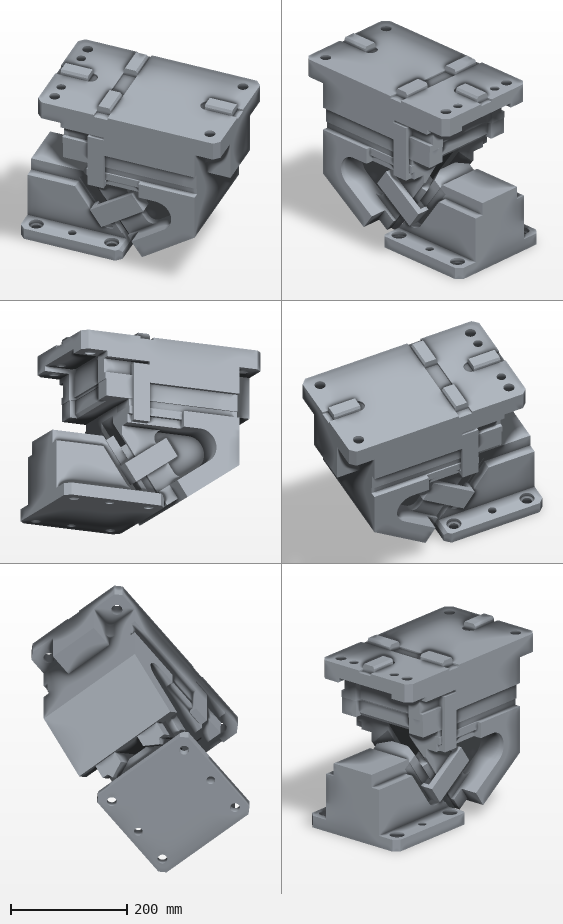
import cadquery as cq
import math


LENGTH = 372.0
HEIGHT = 309.0
HALF_WIDTH = 100.0
CORNER_CHAMFER = 10.0

INCLINE = 35.0
SIN = math.sin(math.radians(INCLINE))
COS = math.cos(math.radians(INCLINE))
FRAME_X = 89.0
FRAME_Z = 114.2
DOWN = (SIN, 0, -COS)
FAR = 148.8

BASE_LENGTH = 189.7
BASE_THICKNESS = 21.5
BLOCK_HALF_WIDTH = 60.0
CREST_HALF_WIDTH = 42.8
SHOULDER_Z = 106.5
CREST_Z = 130.0
STEP_S = 63.0
STEP_T = 15.3
PRISM_END_S = 118.5
RELIEF_T = 25.3
PRISM_FLAT_HALF_WIDTH = 18.2
SLOT_T = -5.0
SLOT_ARC_S = 82.2
SLOT_RADIUS = 22.5
GROOVE_DEPTH = 1.5
BASE_HOLE_INSET = 24.5
BASE_HOLE_Y = 79.5
BASE_HOLE_DIAMETER = 16.7
BASE_BORE_DIAMETER = 26.0
BASE_BORE_DEPTH = 7.0
DOWEL_X = 91.5
DOWEL_DIAMETER = 15.0

HOOK_S = 51.0
HOOK_WIDTH = 37.2
HOOK_T = 5.5
HOOK_LENGTH = 95.2
HOOK_OUTER_Y = 75.0
HOOK_INNER_Y = 63.5
HOOK_LIP_Y = 50.2
HOOK_LOWER_LIP = 7.0
HOOK_UPPER_LIP = 13.0

SLIDE_FRONT = 123.0
BODY_BACK = 328.0
SLIDE_TOP = 187.5
NECK_BOTTOM = 175.0
RAIL_BOTTOM = 161.0
POCKET_TOP = 146.5
RAIL_HALF_WIDTH = 92.0
NECK_HALF_WIDTH = 89.3
NECK_CENTRE_HALF_WIDTH = 39.8
NECK_SETBACK = 0.7
RAIL_NECK_HALF_WIDTH = 85.0
CORE_HALF_WIDTH = 61.5
CHEEK_HALF_WIDTH = 67.5
FLANGE_FRONT = 223.2
SLIDE_T = 37.2
FLANGE_T = 62.0
CORE_END_S = 150.5
FLANGE_END_S = 157.0
POCKET_S = 123.0
POCKET_RADIUS = 30.0
LIP_POCKET_T = 85.5
LIP_POCKET_Y = 48.5
LIP_POCKET_RADIUS = 15.0
VEE_ANGLE = 28.0
VEE_HALF_WIDTH = 56.5
CENTRE_SLOT_HALF_WIDTH = 24.5
CENTRE_SLOT_TOP_S = -44.5
WEAR_THICKNESS = 10.8
WEAR_START_S = 23.8

PLATE_FRONT = 32.5
PLATE_BOTTOM = 265.2
PLATE_TOP = 299.0
BODY_FRONT = 78.0
BODY_BOTTOM = 217.5
GUIDE_FRONT = 79.5
SLOT_BOTTOM = 295.0
HEEL_FRONT = 329.5
HEEL_BOTTOM = 192.0
HEEL_HALF_WIDTH = 44.5
HEEL_FILLET = 11.0
FACE_RECESS_HALF_WIDTH = 60.3
FACE_RECESS_DEPTH = 10.0
FACE_RECESS_TOP = 273.8
FACE_RECESS_CHAMFER = 6.0
PAD_HALF_WIDTH = 54.3
PAD_BOTTOM = 221.5
PAD_TOP = 268.2
PAD_CHAMFER = 13.8
PAD_THICKNESS = 3.7
REBATE_TOP = 255.5
REBATE_STEP = 230.0
CLAMP_FRONT = 128.5
CLAMP_BACK = 158.5
CLAMP_TOP = 250.0
CLAMP_BOTTOM = 148.0
CLAMP_INNER_Y = 93.0
CLAMP_LIP_Y = 86.5
CLAMP_LIP_TOP = 157.7
KEY_WIDTH = 25.3
KEY_CHAMFER_WIDTH = 2.5
KEY_CHAMFER_HEIGHT = 4.5
END_KEY_LENGTH = 50.5
FRONT_KEY_X = 42.5
BACK_KEY_X = 311.0
CROSS_KEY_X = 153.0
CROSS_KEY_LENGTH = 51.0
CROSS_KEY_Y = 60.0
PLATE_HOLE_FRONT_X = 57.0
PLATE_HOLE_BACK_X = 346.0
PLATE_HOLE_Y = 74.8
PLATE_HOLE_DIAMETER = 19.0
PLATE_DOWEL_Y = 45.5
PLATE_DOWEL_DIAMETER = 16.5

VEE_TAN = math.tan(math.radians(VEE_ANGLE))
VEE_SIN = math.sin(math.radians(VEE_ANGLE))
VEE_COS = math.cos(math.radians(VEE_ANGLE))
HOOK_TOP_T = HOOK_T + HOOK_LENGTH


def at_incline(s, t):
    """X, Z place of a point given in the inclined frame."""
    return (FRAME_X + s * SIN + t * COS, FRAME_Z - s * COS + t * SIN)


def incline_at_x(x, s):
    """Point at a given X on the line of constant s."""
    t = (x - FRAME_X - s * SIN) / COS
    return at_incline(s, t)


def face_at_x(x, t):
    """Point at a given X on the line of constant t."""
    s = (x - FRAME_X - t * COS) / SIN
    return at_incline(s, t)


def face_at_z(z, t):
    """Point at a given Z on the line of constant t."""
    s = (FRAME_Z + t * SIN - z) / COS
    return at_incline(s, t)


def upright_sketch(inner_y=0.0):
    """XZ sketch plane that extrudes towards -Y, starting at the distance inner_y."""
    return cq.Workplane("XZ", origin=(0, -inner_y, 0))


def incline_sketch(inner_y):
    """(s, t) sketch plane that extrudes towards -Y, starting at the distance inner_y."""
    return cq.Workplane(cq.Plane(origin=(FRAME_X, -inner_y, FRAME_Z), xDir=DOWN, normal=(0, -1, 0)))


def section_sketch(s):
    """(Y, t) sketch plane across the incline at s; it extrudes down the incline."""
    x, z = at_incline(s, 0)
    return cq.Workplane(cq.Plane(origin=(x, 0, z), xDir=(0, 1, 0), normal=DOWN))


def incline_bar(s_range, t_range, inner_y, outer_y):
    """Straight bar in the inclined frame on the -Y side."""
    s0, s1 = s_range
    t0, t1 = t_range
    bar = incline_sketch(inner_y).moveTo(s0, t0).lineTo(s1, t0).lineTo(s1, t1).lineTo(s0, t1)
    return bar.close().extrude(outer_y - inner_y)


def block(x_range, y_range, z_range):
    """Upright box between the given limits."""
    sizes = [high - low for low, high in (x_range, y_range, z_range)]
    corner = (x_range[0], y_range[0], z_range[0])
    return cq.Workplane("XY").box(*sizes, centered=False).translate(corner)


def centred_block(x_range, half_width, z_range):
    return block(x_range, (-half_width, half_width), z_range)


def side_block(x_range, inner_y, outer_y, z_range):
    """Upright box on the -Y side."""
    return block(x_range, (-outer_y, -inner_y), z_range)


def both_sides(shape):
    return shape.union(shape.mirror("XZ"))


def vertical_hole(x, y, diameter, z_range):
    low, high = z_range
    return cq.Workplane("XY", origin=(x, y, low)).circle(diameter / 2).extrude(high - low)


def vee_t(y):
    """Offset t of the slide's vee flank at the distance y from the middle."""
    return SLIDE_T + (VEE_HALF_WIDTH - y) * VEE_TAN


def prism_t(y):
    """Offset t of the base prism flank, one wear plate below the slide's vee flank."""
    return vee_t(y) - WEAR_THICKNESS / VEE_COS


def base_block():
    outline = [
        (0, 0),
        (0, CREST_Z),
        face_at_z(CREST_Z, STEP_T),
        at_incline(0, STEP_T),
        at_incline(0, prism_t(PRISM_FLAT_HALF_WIDTH)),
        at_incline(PRISM_END_S, prism_t(PRISM_FLAT_HALF_WIDTH)),
        at_incline(PRISM_END_S, RELIEF_T),
        face_at_x(BASE_LENGTH, RELIEF_T),
        (BASE_LENGTH, 0),
    ]
    body = upright_sketch().polyline(outline).close().extrude(BLOCK_HALF_WIDTH, both=True)
    shoulder = side_block((0, at_incline(0, STEP_T)[0]), CREST_HALF_WIDTH, FAR, (SHOULDER_Z, HEIGHT))
    return body.cut(both_sides(shoulder))


def prism_flank_cut():
    flank = section_sketch(0).polyline([
        (-PRISM_FLAT_HALF_WIDTH, prism_t(PRISM_FLAT_HALF_WIDTH)),
        (-PRISM_FLAT_HALF_WIDTH, FAR),
        (-FAR, FAR),
        (-FAR, prism_t(FAR)),
    ]).close().extrude(PRISM_END_S)
    above_step = incline_bar((0, PRISM_END_S), (STEP_T, FAR), 0, FAR)
    return both_sides(flank.intersect(above_step))


def hook_slot_floor_s(t):
    """s of the rounded lower end of the hook slot at offset t."""
    return SLOT_ARC_S + math.sqrt(SLOT_RADIUS ** 2 - (t - SLOT_T - SLOT_RADIUS) ** 2)


def hook_slot():
    """Clearance for a return hook: an open top and a round-ended slot down the incline."""
    arc_middle_t = (SLOT_T + STEP_T) / 4
    slot = (
        incline_sketch(CREST_HALF_WIDTH)
        .moveTo(-FAR, SLOT_T)
        .lineTo(SLOT_ARC_S, SLOT_T)
        .threePointArc((hook_slot_floor_s(arc_middle_t), arc_middle_t), (hook_slot_floor_s(STEP_T), STEP_T))
        .lineTo(STEP_S, STEP_T)
        .lineTo(STEP_S, FAR)
        .lineTo(-FAR, FAR)
        .close()
        .extrude(FAR)
    )
    groove = (
        incline_sketch(CREST_HALF_WIDTH - GROOVE_DEPTH)
        .moveTo(0, 0)
        .lineTo(hook_slot_floor_s(0), 0)
        .threePointArc((hook_slot_floor_s(STEP_T / 2), STEP_T / 2), (hook_slot_floor_s(STEP_T), STEP_T))
        .lineTo(0, STEP_T)
        .close()
        .extrude(GROOVE_DEPTH)
    )
    return both_sides(slot.union(groove))


def base_plate():
    plate = centred_block((0, BASE_LENGTH), HALF_WIDTH, (0, BASE_THICKNESS))
    plate = plate.edges("|Z").chamfer(CORNER_CHAMFER)
    plate = plate.cut(both_sides(incline_bar((0, 2 * FAR), (RELIEF_T, FAR), 0, FAR)))
    for side in (-1, 1):
        y = side * BASE_HOLE_Y
        for x in (BASE_HOLE_INSET, BASE_LENGTH - BASE_HOLE_INSET):
            plate = plate.cut(vertical_hole(x, y, BASE_HOLE_DIAMETER, (0, BASE_THICKNESS)))
            bore_span = (BASE_THICKNESS - BASE_BORE_DEPTH, BASE_THICKNESS)
            plate = plate.cut(vertical_hole(x, y, BASE_BORE_DIAMETER, bore_span))
        plate = plate.cut(vertical_hole(DOWEL_X, y, DOWEL_DIAMETER, (0, BASE_THICKNESS)))
    return plate


def return_hooks():
    """C-shaped hooks whose lower lip lies in the base slot and upper lip in the slide pocket."""
    s_range = (HOOK_S, HOOK_S + HOOK_WIDTH)
    lower_lip_end = HOOK_T + HOOK_LOWER_LIP
    upper_lip_start = HOOK_TOP_T - HOOK_UPPER_LIP
    hook = incline_bar(s_range, (HOOK_T, HOOK_TOP_T), HOOK_INNER_Y, HOOK_OUTER_Y)
    hook = hook.union(incline_bar(s_range, (HOOK_T, lower_lip_end), HOOK_LIP_Y, HOOK_INNER_Y))
    hook = hook.union(incline_bar(s_range, (upper_lip_start, HOOK_TOP_T), HOOK_LIP_Y, HOOK_INNER_Y))
    seat_s = (STEP_S, HOOK_S + HOOK_WIDTH)
    seat = incline_bar(seat_s, (STEP_T, prism_t(BLOCK_HALF_WIDTH)), BLOCK_HALF_WIDTH, HOOK_INNER_Y)
    return both_sides(hook.union(seat))


def make_base():
    body = base_block().cut(prism_flank_cut()).cut(hook_slot())
    return body.union(base_plate()).union(return_hooks())


def pocket_centre():
    """X, Z of the round that joins the pocket's level top and its inclined lower wall."""
    z = POCKET_TOP - POCKET_RADIUS
    x = FRAME_X + (POCKET_S - POCKET_RADIUS + (z - FRAME_Z) * COS) / SIN
    return x, z


def with_pocket_wall(sketch):
    """Continue a sketch from the pocket's lower wall round to its level top."""
    x, z = pocket_centre()
    middle_angle = math.radians(INCLINE / 2)
    middle = (x + POCKET_RADIUS * math.cos(middle_angle), z + POCKET_RADIUS * math.sin(middle_angle))
    wall_end = (x + POCKET_RADIUS * SIN, z - POCKET_RADIUS * COS)
    return sketch.lineTo(*wall_end).threePointArc(middle, (x, POCKET_TOP))


def slide_core():
    outline = [
        (SLIDE_FRONT, NECK_BOTTOM),
        (BODY_BACK, NECK_BOTTOM),
        incline_at_x(BODY_BACK, FLANGE_END_S),
        at_incline(FLANGE_END_S, FLANGE_T),
        at_incline(CORE_END_S, FLANGE_T),
        at_incline(CORE_END_S, SLIDE_T),
        face_at_x(SLIDE_FRONT, SLIDE_T),
    ]
    core = upright_sketch().polyline(outline).close().extrude(CORE_HALF_WIDTH, both=True)
    cheek = incline_bar((POCKET_S, CORE_END_S), (SLIDE_T, FLANGE_T), CORE_HALF_WIDTH, CHEEK_HALF_WIDTH)
    return core.union(both_sides(cheek))


def slide_flanges():
    flange = (
        upright_sketch(CORE_HALF_WIDTH)
        .moveTo(FLANGE_FRONT, NECK_BOTTOM)
        .lineTo(BODY_BACK, NECK_BOTTOM)
        .lineTo(*incline_at_x(BODY_BACK, FLANGE_END_S))
        .lineTo(*at_incline(FLANGE_END_S, FLANGE_T))
        .lineTo(*at_incline(POCKET_S, FLANGE_T))
    )
    flange = with_pocket_wall(flange).lineTo(FLANGE_FRONT, POCKET_TOP).close()
    return both_sides(flange.extrude(HALF_WIDTH - CORE_HALF_WIDTH))


def slide_rails():
    """Neck that slides under the holder guide, and the rail that the clamps reach under."""
    rail_x = (SLIDE_FRONT, FLANGE_FRONT)
    neck_z = (NECK_BOTTOM, SLIDE_TOP)
    neck = centred_block((SLIDE_FRONT, BODY_BACK), NECK_CENTRE_HALF_WIDTH, neck_z)
    neck = neck.union(centred_block((SLIDE_FRONT + NECK_SETBACK, BODY_BACK), NECK_HALF_WIDTH, neck_z))
    rail = centred_block(rail_x, RAIL_HALF_WIDTH, (RAIL_BOTTOM, NECK_BOTTOM))
    rail_neck = centred_block(rail_x, RAIL_NECK_HALF_WIDTH, (POCKET_TOP, RAIL_BOTTOM))
    return neck.union(rail).union(rail_neck)


def lip_pockets():
    """Deeper pockets that give the upper lips of the return hooks their travel."""
    top_corner = face_at_z(POCKET_TOP, LIP_POCKET_T)
    low_corner = at_incline(POCKET_S, LIP_POCKET_T)
    sketch = upright_sketch(LIP_POCKET_Y).moveTo(*top_corner).lineTo(*low_corner)
    pocket = with_pocket_wall(sketch).close().extrude(CORE_HALF_WIDTH - LIP_POCKET_Y)
    middle_y = -(LIP_POCKET_Y + CORE_HALF_WIDTH) / 2
    for x, z in (top_corner, low_corner):
        edge = cq.selectors.NearestToPointSelector((x, middle_y, z))
        pocket = pocket.edges(edge).fillet(LIP_POCKET_RADIUS)
    return both_sides(pocket)


def vee_groove():
    half_outline = [
        (VEE_HALF_WIDTH, SLIDE_T),
        (CENTRE_SLOT_HALF_WIDTH, vee_t(CENTRE_SLOT_HALF_WIDTH)),
        (CENTRE_SLOT_HALF_WIDTH, FLANGE_T),
    ]
    outline = half_outline + [(-y, t) for y, t in reversed(half_outline)]
    length = FLANGE_END_S - CENTRE_SLOT_TOP_S
    return section_sketch(CENTRE_SLOT_TOP_S).polyline(outline).close().extrude(length)


def wear_plates():
    plate = section_sketch(WEAR_START_S).polyline([
        (-VEE_HALF_WIDTH, SLIDE_T),
        (-CENTRE_SLOT_HALF_WIDTH, vee_t(CENTRE_SLOT_HALF_WIDTH)),
        (-CENTRE_SLOT_HALF_WIDTH, prism_t(CENTRE_SLOT_HALF_WIDTH)),
        (-VEE_HALF_WIDTH + WEAR_THICKNESS * VEE_SIN, SLIDE_T - WEAR_THICKNESS * VEE_COS),
    ]).close().extrude(CORE_END_S - WEAR_START_S)
    return both_sides(plate)


def make_slide():
    body = slide_core().union(slide_flanges()).union(slide_rails())
    return body.cut(lip_pockets()).cut(vee_groove()).union(wear_plates())


def holder_plate():
    plate = centred_block((PLATE_FRONT, LENGTH), HALF_WIDTH, (PLATE_BOTTOM, PLATE_TOP))
    plate = plate.edges("|Z").chamfer(CORNER_CHAMFER)
    return plate.cut(key_slots())


def key_slots():
    half_key = KEY_WIDTH / 2
    depth = (SLOT_BOTTOM, PLATE_TOP)
    front_end = FRONT_KEY_X + END_KEY_LENGTH
    slots = centred_block((CROSS_KEY_X - half_key, CROSS_KEY_X + half_key), HALF_WIDTH, depth)
    for x_range, round_x in (((PLATE_FRONT, front_end), front_end), ((BACK_KEY_X, LENGTH), BACK_KEY_X)):
        slots = slots.union(centred_block(x_range, half_key, depth))
        slots = slots.union(vertical_hole(round_x, 0, KEY_WIDTH, depth))
    return slots


def key(length):
    """Key along X, centred on the origin in plan, with both long top edges bevelled."""
    half = KEY_WIDTH / 2
    half_outline = [
        (half, SLOT_BOTTOM),
        (half, HEIGHT - KEY_CHAMFER_HEIGHT),
        (half - KEY_CHAMFER_WIDTH, HEIGHT),
    ]
    outline = half_outline + [(-y, z) for y, z in reversed(half_outline)]
    return cq.Workplane("YZ").polyline(outline).close().extrude(length / 2, both=True)


def holder_keys():
    keys = key(END_KEY_LENGTH).translate((FRONT_KEY_X + END_KEY_LENGTH / 2, 0, 0))
    keys = keys.union(key(END_KEY_LENGTH).translate((BACK_KEY_X + END_KEY_LENGTH / 2, 0, 0)))
    cross_key = key(CROSS_KEY_LENGTH).rotate((0, 0, 0), (0, 0, 1), 90)
    return keys.union(both_sides(cross_key.translate((CROSS_KEY_X, -CROSS_KEY_Y, 0))))


def plate_holes():
    through = (PLATE_BOTTOM, PLATE_TOP)
    holes = vertical_hole(PLATE_HOLE_FRONT_X, -PLATE_HOLE_Y, PLATE_HOLE_DIAMETER, through)
    holes = holes.union(vertical_hole(PLATE_HOLE_BACK_X, -PLATE_HOLE_Y, PLATE_HOLE_DIAMETER, through))
    holes = holes.union(vertical_hole(PLATE_HOLE_FRONT_X, -PLATE_DOWEL_Y, PLATE_DOWEL_DIAMETER, through))
    return both_sides(holes)


def holder_body():
    body = centred_block((BODY_FRONT, BODY_BACK), HALF_WIDTH, (BODY_BOTTOM, PLATE_BOTTOM))
    rebate_x = (BODY_FRONT, CLAMP_BACK)
    rebate = side_block(rebate_x, RAIL_NECK_HALF_WIDTH, HALF_WIDTH, (REBATE_STEP, REBATE_TOP))
    lower_rebate = side_block(rebate_x, RAIL_HALF_WIDTH, HALF_WIDTH, (BODY_BOTTOM, REBATE_STEP))
    return body.cut(both_sides(rebate.union(lower_rebate)))


def holder_guide():
    """Guide below the body that the slide runs under, with its own recess in the front face."""
    guide = centred_block((GUIDE_FRONT, BODY_BACK), RAIL_HALF_WIDTH, (SLIDE_TOP, BODY_BOTTOM))
    recess_back = GUIDE_FRONT + FACE_RECESS_DEPTH
    recess = upright_sketch().polyline([
        (GUIDE_FRONT, SLIDE_TOP),
        (GUIDE_FRONT, BODY_BOTTOM),
        (recess_back, BODY_BOTTOM),
        (recess_back, SLIDE_TOP + FACE_RECESS_CHAMFER),
        (recess_back + FACE_RECESS_CHAMFER * SIN / COS, SLIDE_TOP),
    ]).close().extrude(FACE_RECESS_HALF_WIDTH, both=True)
    return guide.cut(recess)


def holder_face_recess():
    """Shallow recess with rounded back corners that opens on the front of the body."""
    x_range = (PLATE_FRONT, BODY_FRONT + FACE_RECESS_DEPTH)
    recess = centred_block(x_range, FACE_RECESS_HALF_WIDTH, (BODY_BOTTOM, FACE_RECESS_TOP))
    return recess.edges("|Z and >X").fillet(FACE_RECESS_DEPTH)


def stop_pad():
    back = BODY_FRONT + FACE_RECESS_DEPTH
    pad = centred_block((back - PAD_THICKNESS, back), PAD_HALF_WIDTH, (PAD_BOTTOM, PAD_TOP))
    return pad.edges("|X and >Z").chamfer(PAD_CHAMFER)


def heel():
    """Rear heel that backs up the slide, with rounds where it joins the body."""
    root = centred_block((BODY_BACK, LENGTH), HEEL_HALF_WIDTH, (BODY_BOTTOM, PLATE_BOTTOM))
    lower = centred_block((HEEL_FRONT, LENGTH), HEEL_HALF_WIDTH, (HEEL_BOTTOM, BODY_BOTTOM))
    fillet_x = (BODY_BACK, BODY_BACK + HEEL_FILLET)
    fillet_y = HEEL_HALF_WIDTH + HEEL_FILLET
    corner = side_block(fillet_x, HEEL_HALF_WIDTH, fillet_y, (BODY_BOTTOM, PLATE_BOTTOM))
    hollow = vertical_hole(fillet_x[1], -fillet_y, 2 * HEEL_FILLET, (BODY_BOTTOM, PLATE_BOTTOM))
    return root.union(lower).union(both_sides(corner.cut(hollow)))


def clamps():
    """Side clamps held in the body rebate that reach down and under the slide rail."""
    x_range = (CLAMP_FRONT, CLAMP_BACK)
    wall = side_block(x_range, CLAMP_INNER_Y, HALF_WIDTH, (CLAMP_BOTTOM, CLAMP_TOP))
    tongue = side_block(x_range, RAIL_NECK_HALF_WIDTH, CLAMP_INNER_Y, (REBATE_STEP, CLAMP_TOP))
    lip = side_block(x_range, CLAMP_LIP_Y, CLAMP_INNER_Y, (CLAMP_BOTTOM, CLAMP_LIP_TOP))
    return both_sides(wall.union(tongue).union(lip))


def make_holder():
    body = holder_plate().union(holder_body()).cut(holder_face_recess())
    body = body.union(holder_guide()).union(stop_pad()).union(heel()).union(clamps()).union(holder_keys())
    return body.cut(plate_holes())


base = make_base()
slide = make_slide()
holder = make_holder()

result = cq.Compound.makeCompound([body.solids().val() for body in (base, slide, holder)])